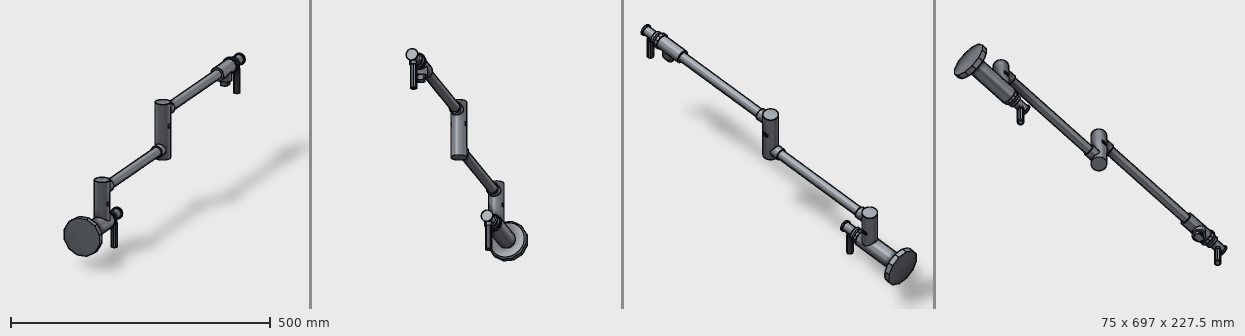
import cadquery as cq
import math


REACH = 697.0
LOWER_ARM_Z = 69.0
UPPER_ARM_Z = 142.0
NEAR_POST_Y = 89.0
FAR_POST_Y = 357.5

FACETS = 12
BEVEL_ANGLE = 30

PLATE_WIDTH = 75.0
PLATE_THICKNESS = 13.0
PLATE_BEVEL = 4.0

INLET_DIAMETER = 34.0
INLET_END_Y = 111.5
OUTLET_DIAMETER = 27.0
OUTLET_LENGTH = 55.0

RING_WIDTH = 31.5
RING_LENGTH = 8.0
RING_BEVEL = 2.0
CAP_DIAMETER = 29.0
CAP_NOSE_DIAMETER = 25.0
CAP_LENGTH = 10.5
CAP_NOSE_LENGTH = 5.5
NECK_DIAMETER = 19.0
NECK_LENGTH = 24.0
FLANGE_DIAMETER = 23.0
FLANGE_LENGTH = 3.5
HEAD_LENGTH = RING_LENGTH + CAP_LENGTH + NECK_LENGTH + FLANGE_LENGTH
OUTLET_END_Y = REACH - HEAD_LENGTH

LEVER_FROM_TIP = 14.0
LEVER_WIDTH = 12.5
LEVER_TOP = 17.0
LEVER_BOTTOM = 65.5
LEVER_BEVEL = 2.0
STEM_DIAMETER = 10.5

TUBE_DIAMETER = 19.0
COLLAR_DIAMETER = 24.0
COLLAR_REACH = 28.0
POST_DIAMETER = 31.0
POST_TOP_CHAMFER = 1.0
POST_OVERHANG = 20.0
JOINT_DROP = 23.0

NOTCH_WIDTH = 11.0
NOTCH_HEIGHT = 7.0
NOTCH_DEPTH = 2.0

SPOUT_Y = 631.5
SPOUT_DIAMETER = 26.5
SPOUT_DROP = 22.0
AERATOR_DIAMETER = 19.0
AERATOR_DROP = 32.0
AERATOR_FLAT_SPACING = 14.0
AERATOR_FLAT_HEIGHT = 5.5


def rod_along_y(diameter, start_y, end_y, z):
    """Round bar parallel to Y."""
    plane = cq.Workplane("XZ", origin=(0, start_y, z))
    return plane.circle(diameter / 2).extrude(start_y - end_y)


def rod_along_z(diameter, bottom_z, top_z, y):
    """Round bar parallel to Z."""
    plane = cq.Workplane("XY", origin=(0, y, bottom_z))
    return plane.circle(diameter / 2).extrude(top_z - bottom_z)


def faceted(plane, width, length, bevel):
    """Regular prism sized across flats, with its far end turned down to a round bevelled face."""
    corner_radius = width / 2 / math.cos(math.pi / FACETS)
    turned_plane = plane.transformed(rotate=(0, 0, 180 / FACETS))
    prism = turned_plane.polygon(FACETS, 2 * corner_radius).extrude(length)
    blank = plane.circle(corner_radius).extrude(length)
    outward = plane.plane.zDir * math.copysign(1, length)
    far_face = cq.selectors.DirectionMinMaxSelector(outward)
    bevel_depth = bevel * math.tan(math.radians(BEVEL_ANGLE))
    blank = blank.faces(far_face).chamfer(bevel_depth, bevel)
    return prism.intersect(blank)


def wall_plate():
    return faceted(cq.Workplane("XZ"), PLATE_WIDTH, -PLATE_THICKNESS, PLATE_BEVEL)


def lever(y, axis_z):
    plane = cq.Workplane("XY", origin=(0, y, axis_z - LEVER_TOP))
    grip = faceted(plane, LEVER_WIDTH, LEVER_TOP - LEVER_BOTTOM, LEVER_BEVEL)
    return grip.union(rod_along_z(STEM_DIAMETER, axis_z - LEVER_TOP, axis_z, y))


def valve_head(start_y, axis_z):
    """Faceted ring, tapered cap, neck and end flange, with the lever below the neck."""
    ring_end = start_y + RING_LENGTH
    cap_end = ring_end + CAP_LENGTH
    neck_end = cap_end + NECK_LENGTH
    tip = neck_end + FLANGE_LENGTH
    ring_plane = cq.Workplane("XZ", origin=(0, start_y, axis_z))
    ring = faceted(ring_plane, RING_WIDTH, -RING_LENGTH, RING_BEVEL)
    turned = (
        cq.Workplane("XY", origin=(0, 0, axis_z))
        .moveTo(0, start_y)
        .lineTo(CAP_DIAMETER / 2, start_y)
        .lineTo(CAP_DIAMETER / 2, ring_end)
        .lineTo(CAP_NOSE_DIAMETER / 2, cap_end - CAP_NOSE_LENGTH)
        .lineTo(CAP_NOSE_DIAMETER / 2, cap_end)
        .lineTo(NECK_DIAMETER / 2, cap_end)
        .lineTo(NECK_DIAMETER / 2, neck_end)
        .lineTo(FLANGE_DIAMETER / 2, neck_end)
        .lineTo(FLANGE_DIAMETER / 2, tip)
        .lineTo(0, tip)
        .close()
        .revolve(360, (0, 0, 0), (0, 1, 0))
    )
    return turned.union(ring).union(lever(tip - LEVER_FROM_TIP, axis_z))


def post(y, bottom_z, arm_z):
    """Swivel post whose joint lies a fixed drop below the arm it carries."""
    body = rod_along_z(POST_DIAMETER, bottom_z, arm_z + POST_OVERHANG, y)
    body = body.faces(">Z").chamfer(POST_TOP_CHAMFER)
    notch_z = arm_z - JOINT_DROP - NOTCH_HEIGHT / 2
    for side in (-1, 1):
        notch = cq.Workplane("XY").box(2 * NOTCH_DEPTH, NOTCH_WIDTH, NOTCH_HEIGHT)
        body = body.cut(notch.translate((side * POST_DIAMETER / 2, y, notch_z)))
    return body


def arm_collar(post_y, direction, z):
    return rod_along_y(COLLAR_DIAMETER, post_y, post_y + direction * COLLAR_REACH, z)


def spout():
    """Sleeve with a narrower aerator that has a wrench flat on each X side."""
    sleeve = rod_along_z(SPOUT_DIAMETER, UPPER_ARM_Z - SPOUT_DROP, UPPER_ARM_Z, SPOUT_Y)
    aerator = rod_along_z(AERATOR_DIAMETER, UPPER_ARM_Z - AERATOR_DROP, UPPER_ARM_Z, SPOUT_Y)
    flats_z = UPPER_ARM_Z - AERATOR_DROP + AERATOR_FLAT_HEIGHT / 2
    for side in (-1, 1):
        cutter = cq.Workplane("XY").box(AERATOR_DIAMETER, AERATOR_DIAMETER, AERATOR_FLAT_HEIGHT)
        cutter_x = side * (AERATOR_FLAT_SPACING + AERATOR_DIAMETER) / 2
        aerator = aerator.cut(cutter.translate((cutter_x, SPOUT_Y, flats_z)))
    return sleeve.union(aerator)


result = wall_plate()
result = result.union(rod_along_y(INLET_DIAMETER, 0, INLET_END_Y, 0))
result = result.union(valve_head(INLET_END_Y, 0))

result = result.union(post(NEAR_POST_Y, 0, LOWER_ARM_Z))
result = result.union(post(FAR_POST_Y, LOWER_ARM_Z - POST_OVERHANG, UPPER_ARM_Z))
result = result.union(arm_collar(NEAR_POST_Y, 1, LOWER_ARM_Z))
result = result.union(arm_collar(FAR_POST_Y, -1, LOWER_ARM_Z))
result = result.union(rod_along_y(TUBE_DIAMETER, NEAR_POST_Y, FAR_POST_Y, LOWER_ARM_Z))

result = result.union(arm_collar(FAR_POST_Y, 1, UPPER_ARM_Z))
result = result.union(rod_along_y(TUBE_DIAMETER, FAR_POST_Y, OUTLET_END_Y, UPPER_ARM_Z))
result = result.union(
    rod_along_y(OUTLET_DIAMETER, OUTLET_END_Y - OUTLET_LENGTH, OUTLET_END_Y, UPPER_ARM_Z)
)
result = result.union(spout())
result = result.union(valve_head(OUTLET_END_Y, UPPER_ARM_Z))